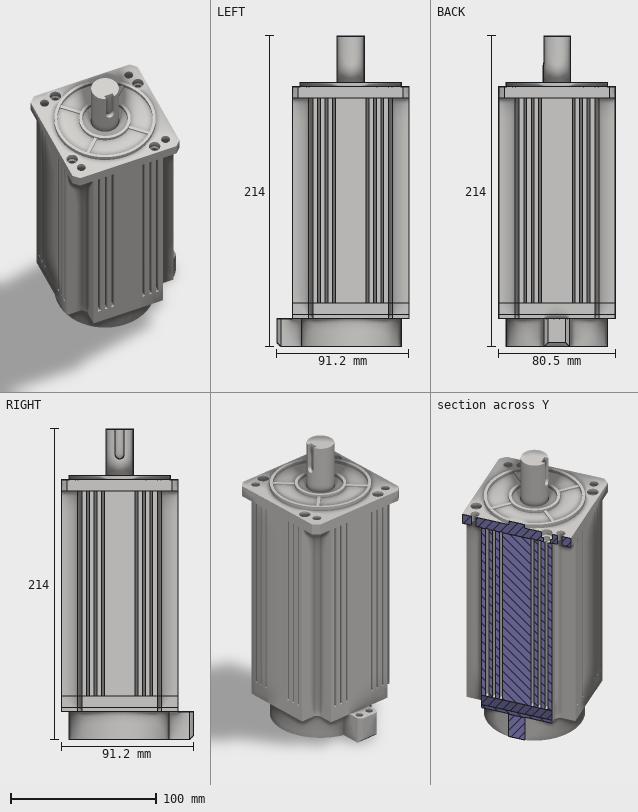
import cadquery as cq

MOTOR_WIDTH = 80.5
HALF_WIDTH = MOTOR_WIDTH / 2
PILOT_DIAMETER = 70.0

COVER_HEIGHT = 19.3
GASKET_HEIGHT = 3.0
END_PLATE_HEIGHT = 8.0
HOUSING_HEIGHT = 141.0
FLANGE_HEIGHT = 8.0
PILOT_HEIGHT = 3.0
TOTAL_HEIGHT = 214.0

GASKET_Z = COVER_HEIGHT
END_PLATE_Z = GASKET_Z + GASKET_HEIGHT
HOUSING_Z = END_PLATE_Z + END_PLATE_HEIGHT
FLANGE_Z = HOUSING_Z + HOUSING_HEIGHT
FLANGE_TOP = FLANGE_Z + FLANGE_HEIGHT
PILOT_TOP = FLANGE_TOP + PILOT_HEIGHT

NOTCH_SIZE = 14.1
NOTCH_BEVEL = 2.8

GROOVE_WIDTH = 2.0
GROOVE_DEPTH = 9.0
GROOVE_PITCH = 5.1
FIRST_GROOVE_OFFSET = 11.5
GROOVES_PER_SIDE = 3

FLANGE_CHAMFER = 4.0
MOUNT_HOLE_OFFSET = 31.7
MOUNT_HOLE_DIAMETER = 6.2
SCREW_OFFSET_ALONG = 22.3
SCREW_OFFSET_OUT = 34.5
SCREW_HOLE_DIAMETER = 4.7
SCREW_HEAD_DIAMETER = 8.0
SCREW_HEAD_DEPTH = 4.5

RIM_INNER_DIAMETER = 66.0
HUB_DIAMETER = 35.5
HUB_BORE_DIAMETER = 31.5
RELIEF_DEPTH = 2.4
RIB_ANGLES = (45, 135)
RIB_WIDTH = 2.1
RIB_DROP = 1.3
SHAFT_BORE_DIAMETER = 20.0

SHAFT_DIAMETER = 19.0
KEYWAY_WIDTH = 6.2
KEYWAY_LENGTH = 20.5
KEYWAY_FLOOR = 6.0

CONNECTOR_WIDTH = 17.5
CONNECTOR_REACH = 51.0
CONNECTOR_CHAMFER = 2.8
SOCKET_SPACING = 9.0
SOCKET_OFFSET = 45.4
SOCKET_DIAMETER = 5.4
SOCKET_DEPTH = 9.8


def cylinder(diameter, bottom, height):
    return cq.Workplane("XY").workplane(offset=bottom).circle(diameter / 2).extrude(height)


def notched_block(bottom, height):
    """Square block with a bevelled square notch cut from each vertical corner."""
    inner = HALF_WIDTH - NOTCH_SIZE
    block = (
        cq.Workplane("XY").workplane(offset=bottom)
        .rect(MOTOR_WIDTH, MOTOR_WIDTH).extrude(height)
    )
    notch = (
        cq.Workplane("XY").workplane(offset=bottom)
        .moveTo(HALF_WIDTH, inner)
        .lineTo(HALF_WIDTH, HALF_WIDTH)
        .lineTo(inner, HALF_WIDTH)
        .lineTo(inner, inner + NOTCH_BEVEL)
        .lineTo(inner + NOTCH_BEVEL, inner)
        .close().extrude(height)
    )
    return cut_on_four_sides(block, notch)


def cut_on_four_sides(body, tool):
    """Cut the tool from the body at each quarter turn about the Z axis."""
    for angle in (0, 90, 180, 270):
        body = body.cut(tool.rotate((0, 0, 0), (0, 0, 1), angle))
    return body


def make_housing():
    """Long notched block with a set of grooves on each of its four faces."""
    groove_places = []
    for number in range(GROOVES_PER_SIDE):
        offset = FIRST_GROOVE_OFFSET + number * GROOVE_PITCH
        groove_places += [(-offset, HALF_WIDTH), (offset, HALF_WIDTH)]
    grooves = (
        cq.Workplane("XY").workplane(offset=HOUSING_Z)
        .pushPoints(groove_places)
        .rect(GROOVE_WIDTH, 2 * GROOVE_DEPTH).extrude(HOUSING_HEIGHT)
    )
    housing = notched_block(HOUSING_Z, HOUSING_HEIGHT)
    return cut_on_four_sides(housing, grooves)


def pilot_relief():
    """Material removed from the pilot top: a ribbed ring and the recess inside the hub."""
    floor = PILOT_TOP - RELIEF_DEPTH
    hub = cylinder(HUB_DIAMETER, floor, RELIEF_DEPTH)
    ring = cylinder(RIM_INNER_DIAMETER, floor, RELIEF_DEPTH).cut(hub)
    for angle in RIB_ANGLES:
        rib = (
            cq.Workplane("XY").workplane(offset=floor)
            .rect(PILOT_DIAMETER, RIB_WIDTH).extrude(RELIEF_DEPTH - RIB_DROP)
        )
        ring = ring.cut(rib.rotate((0, 0, 0), (0, 0, 1), angle))
    return ring.union(cylinder(HUB_BORE_DIAMETER, floor, RELIEF_DEPTH))


def make_flange():
    """Mounting flange with its pilot, mounting holes and counterbored screw holes."""
    flange = (
        cq.Workplane("XY").workplane(offset=FLANGE_Z)
        .rect(MOTOR_WIDTH, MOTOR_WIDTH).extrude(FLANGE_HEIGHT)
        .edges("|Z").chamfer(FLANGE_CHAMFER)
    )
    flange = flange.union(cylinder(PILOT_DIAMETER, FLANGE_TOP, PILOT_HEIGHT))
    flange = flange.cut(pilot_relief())
    flange = flange.cut(cylinder(SHAFT_BORE_DIAMETER, FLANGE_Z, FLANGE_HEIGHT + PILOT_HEIGHT))
    mount_holes = (
        cq.Workplane("XY").workplane(offset=FLANGE_Z)
        .rect(2 * MOUNT_HOLE_OFFSET, 2 * MOUNT_HOLE_OFFSET, forConstruction=True)
        .vertices().circle(MOUNT_HOLE_DIAMETER / 2).extrude(FLANGE_HEIGHT)
    )
    flange = flange.cut(mount_holes)
    counterbore = cylinder(SCREW_HEAD_DIAMETER, FLANGE_TOP - SCREW_HEAD_DEPTH, SCREW_HEAD_DEPTH)
    screw_hole = cylinder(SCREW_HOLE_DIAMETER, FLANGE_Z, FLANGE_HEIGHT).union(counterbore)
    screw_hole = screw_hole.translate((-SCREW_OFFSET_ALONG, SCREW_OFFSET_OUT, 0))
    return cut_on_four_sides(flange, screw_hole)


def make_shaft():
    """Shaft standing on the housing, with a round-ended keyway open at the top."""
    shaft = cylinder(SHAFT_DIAMETER, FLANGE_Z, TOTAL_HEIGHT - FLANGE_Z)
    half_key = KEYWAY_WIDTH / 2
    keyway_end = TOTAL_HEIGHT - KEYWAY_LENGTH
    keyway = (
        cq.Workplane("YZ").workplane(offset=KEYWAY_FLOOR)
        .moveTo(-half_key, TOTAL_HEIGHT)
        .lineTo(-half_key, keyway_end + half_key)
        .threePointArc((0, keyway_end), (half_key, keyway_end + half_key))
        .lineTo(half_key, TOTAL_HEIGHT)
        .close().extrude(SHAFT_DIAMETER / 2)
    )
    return shaft.cut(keyway)


def make_cover():
    """Round rear cover with a two-socket connector block on its +Y side."""
    block = (
        cq.Workplane("XY")
        .center(0, CONNECTOR_REACH / 2)
        .rect(CONNECTOR_WIDTH, CONNECTOR_REACH).extrude(COVER_HEIGHT)
    )
    block = block.edges("|Z and >Y").chamfer(CONNECTOR_CHAMFER)
    block = block.faces(">Y").edges("<Z").chamfer(CONNECTOR_CHAMFER)
    sockets = (
        cq.Workplane("XY").workplane(offset=COVER_HEIGHT - SOCKET_DEPTH)
        .pushPoints([(-SOCKET_SPACING / 2, SOCKET_OFFSET), (SOCKET_SPACING / 2, SOCKET_OFFSET)])
        .circle(SOCKET_DIAMETER / 2).extrude(SOCKET_DEPTH)
    )
    return cylinder(PILOT_DIAMETER, 0, COVER_HEIGHT).union(block).cut(sockets)


cover = make_cover()
gasket = notched_block(GASKET_Z, GASKET_HEIGHT)
end_plate = notched_block(END_PLATE_Z, END_PLATE_HEIGHT)
housing = make_housing()
flange = make_flange()
shaft = make_shaft()

result = cq.Compound.makeCompound([
    cover.val(),
    gasket.val(),
    end_plate.val(),
    housing.val(),
    flange.val(),
    shaft.val(),
])